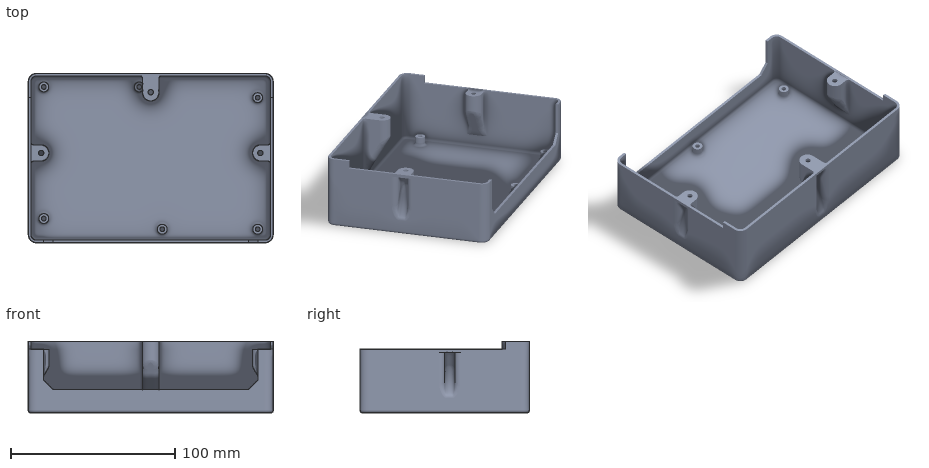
import cadquery as cq
import math

LENGTH = 149.2
WIDTH = 103.2
HEIGHT = 43.6
WALL = 1.6
CORNER_RADIUS = 5.2
BOTTOM_EDGE_RADIUS = WALL
FLOOR_FILLET = WALL

RIM_Z = 38.8
STEP_Y = 36.9

WINDOW_WIDTH = 130.4
SILL_Z = 14.2
WINDOW_CHAMFER = 5.8

BOSS_HALF_WIDTH = 5.0
BOSS_WALL = 1.8
BOSS_ROOT_FILLET = WALL
BOSS_EDGE_FILLET = 3.2
SLOPE_ANGLE = 30.0
SLOPE_RISE = 1 / math.tan(math.radians(SLOPE_ANGLE))
HOLLOW_HALF_WIDTH = BOSS_HALF_WIDTH - BOSS_WALL
HOLLOW_EDGE_FILLET = BOSS_EDGE_FILLET / 2
MOUTH_FILLET = BOSS_EDGE_FILLET
SCREW_HOLE_DIAMETER = 3.2

SIDE_BOSS_Y = 3.1
SIDE_BOSS_REACH = 7.9
SIDE_BOSS_NOSE = 12.6
SIDE_BOSS_TOP = RIM_Z - 0.2
SIDE_SLOPE_Z = 6.1
BACK_BOSS_REACH = 11.5
BACK_BOSS_NOSE = 16.8
BACK_BOSS_TOP = HEIGHT
BACK_SLOPE_Z = 2.1

PANEL_WIDTH = 2 * (BOSS_HALF_WIDTH + BOSS_EDGE_FILLET)
PANEL_BASE_Z = WALL + FLOOR_FILLET
TOLERANCE = 0.01

STANDOFF_DIAMETER = 6.0
STANDOFF_HOLE_DIAMETER = 2.85
STANDOFF_HEIGHT = 5.5
STANDOFF_FILLET = WALL
STANDOFF_HALF_SET = [(-65.1, 43.3), (-7.0, 43.3), (65.1, 36.8)]

Z_AXIS = ((0, 0, 0), (0, 0, 1))


def arc_inset(radius):
    """Distance of a quarter fillet's midpoint from each of the two faces it joins."""
    return radius * (1 - math.sqrt(0.5))


def rounded_block(length, width, bottom, top, corner_radius, bottom_radius):
    """Block with rounded vertical corners and a rounded bottom edge."""
    block = cq.Workplane("XY").workplane(offset=bottom).rect(length, width).extrude(top - bottom)
    return block.edges("|Z").fillet(corner_radius).faces("<Z").edges().fillet(bottom_radius)


def tray():
    """Box shell with the stepped rim and the front window."""
    outside = rounded_block(LENGTH, WIDTH, 0, HEIGHT, CORNER_RADIUS, BOTTOM_EDGE_RADIUS)
    inside = rounded_block(
        LENGTH - 2 * WALL, WIDTH - 2 * WALL, WALL, HEIGHT, CORNER_RADIUS - WALL, FLOOR_FILLET
    )
    rim_depth = STEP_Y + WIDTH / 2
    rim_cut = cq.Workplane("XY").box(LENGTH, rim_depth, HEIGHT - RIM_Z, centered=(True, False, False))
    rim_cut = rim_cut.translate((0, -WIDTH / 2, RIM_Z))
    half = WINDOW_WIDTH / 2
    window = (
        cq.Workplane("XZ", origin=(0, -WIDTH / 2, 0))
        .moveTo(-half, HEIGHT)
        .lineTo(-half, SILL_Z + WINDOW_CHAMFER)
        .lineTo(-half + WINDOW_CHAMFER, SILL_Z)
        .lineTo(half - WINDOW_CHAMFER, SILL_Z)
        .lineTo(half, SILL_Z + WINDOW_CHAMFER)
        .lineTo(half, HEIGHT)
        .close()
        .extrude(-WALL)
    )
    return outside.cut(inside).cut(rim_cut).cut(window)


def boss_plan(nose):
    """Plan of a boss at z = 0: a slab inside the wall, concave root flares and a round nose."""
    slab_half = PANEL_WIDTH / 2
    flare_x = WALL + BOSS_ROOT_FILLET
    flare_y = BOSS_HALF_WIDTH + BOSS_ROOT_FILLET
    flare_mid = arc_inset(BOSS_ROOT_FILLET)
    return (
        cq.Workplane("XY")
        .moveTo(WALL / 2, -slab_half)
        .lineTo(WALL, -slab_half)
        .lineTo(WALL, -flare_y)
        .threePointArc((WALL + flare_mid, -BOSS_HALF_WIDTH - flare_mid), (flare_x, -BOSS_HALF_WIDTH))
        .lineTo(nose - BOSS_HALF_WIDTH, -BOSS_HALF_WIDTH)
        .threePointArc((nose, 0), (nose - BOSS_HALF_WIDTH, BOSS_HALF_WIDTH))
        .lineTo(flare_x, BOSS_HALF_WIDTH)
        .threePointArc((WALL + flare_mid, BOSS_HALF_WIDTH + flare_mid), (WALL, flare_y))
        .lineTo(WALL, slab_half)
        .lineTo(WALL / 2, slab_half)
        .close()
    )


def hollow_plan(nose):
    """Plan of the hollow inside a boss at z = 0, starting outside the outer wall face."""
    return (
        cq.Workplane("XY")
        .moveTo(-WALL, -HOLLOW_HALF_WIDTH)
        .lineTo(nose - HOLLOW_HALF_WIDTH, -HOLLOW_HALF_WIDTH)
        .threePointArc((nose, 0), (nose - HOLLOW_HALF_WIDTH, HOLLOW_HALF_WIDTH))
        .lineTo(-WALL, HOLLOW_HALF_WIDTH)
        .close()
    )


def sloped_post(plan, top, slope_z, edge_fillet):
    """Raise a plan to z = top, cut its underside to a slope and round the lower edges.

    The plane of the underside passes through z = slope_z at x = 0. The edges on the
    plan's straight back and on the two ends of its slab stay sharp.
    """
    post = plan.extrude(top)
    bounds = post.val().BoundingBox()
    side_profile = (
        cq.Workplane("XZ")
        .moveTo(bounds.xmin, slope_z + bounds.xmin * SLOPE_RISE)
        .lineTo(bounds.xmax, slope_z + bounds.xmax * SLOPE_RISE)
        .lineTo(bounds.xmax, top)
        .lineTo(bounds.xmin, top)
        .close()
        .extrude(bounds.ymax, both=True)
    )
    post = post.intersect(side_profile)
    underside = post.faces(cq.selectors.DirectionMinMaxSelector(cq.Vector(SLOPE_RISE, 0, -1), True))
    rounded_zone = cq.selectors.BoxSelector(
        (bounds.xmin + TOLERANCE, -PANEL_WIDTH / 2 + TOLERANCE, bounds.zmin),
        (bounds.xmax + TOLERANCE, PANEL_WIDTH / 2 - TOLERANCE, bounds.zmax),
    )
    return underside.edges(rounded_zone).fillet(edge_fillet)


def boss_panel(reach, nose, boss_top, slope_z, panel_top):
    """Strip of wall with its outer face at x = 0, carrying a hollow screw boss that points to +X."""
    panel = cq.Workplane("XY").box(
        WALL, PANEL_WIDTH, panel_top - PANEL_BASE_Z, centered=(False, True, False)
    )
    panel = panel.translate((0, 0, PANEL_BASE_Z))
    body = panel.union(sloped_post(boss_plan(nose), boss_top, slope_z, BOSS_EDGE_FILLET))

    hollow_top = boss_top - BOSS_WALL
    hollow_slope_z = slope_z + BOSS_WALL / math.sin(math.radians(SLOPE_ANGLE))
    hollow = sloped_post(hollow_plan(nose - BOSS_WALL), hollow_top, hollow_slope_z, HOLLOW_EDGE_FILLET)
    body = body.cut(hollow)

    rounded_mouth = cq.selectors.BoxSelector(
        (-TOLERANCE, -HOLLOW_HALF_WIDTH - TOLERANCE, PANEL_BASE_Z + TOLERANCE),
        (TOLERANCE, HOLLOW_HALF_WIDTH + TOLERANCE, hollow_top - TOLERANCE),
    )
    body = body.edges(rounded_mouth).fillet(MOUTH_FILLET)

    screw_hole = cq.Workplane("XY", origin=(reach, 0, boss_top)).circle(SCREW_HOLE_DIAMETER / 2)
    return body.cut(screw_hole.extrude(-2 * BOSS_WALL))


def replace_wall(body, panel, turn, x, y):
    """Swap a strip of the wall for a boss panel turned about Z and moved to (x, y)."""
    slot = cq.Workplane("XY").box(WALL, PANEL_WIDTH, HEIGHT, centered=(False, True, False))
    slot = slot.translate((0, 0, PANEL_BASE_Z))
    body = body.cut(slot.rotate(*Z_AXIS, turn).translate((x, y, 0)))
    return body.union(panel.rotate(*Z_AXIS, turn).translate((x, y, 0)))


def add_bosses(body):
    """Screw bosses on the left, right and back walls."""
    side_panel = boss_panel(SIDE_BOSS_REACH, SIDE_BOSS_NOSE, SIDE_BOSS_TOP, SIDE_SLOPE_Z, RIM_Z)
    back_panel = boss_panel(BACK_BOSS_REACH, BACK_BOSS_NOSE, BACK_BOSS_TOP, BACK_SLOPE_Z, HEIGHT)
    body = replace_wall(body, side_panel, 0, -LENGTH / 2, SIDE_BOSS_Y)
    body = replace_wall(body, side_panel, 180, LENGTH / 2, SIDE_BOSS_Y)
    return replace_wall(body, back_panel, -90, 0, WIDTH / 2)


def add_standoffs(body):
    """Floor standoffs with a flared foot and a blind hole down to floor level."""
    radius = STANDOFF_DIAMETER / 2
    foot_radius = radius + STANDOFF_FILLET
    flare_drop = arc_inset(STANDOFF_FILLET)
    profile = (
        cq.Workplane("XZ")
        .moveTo(STANDOFF_HOLE_DIAMETER / 2, 0)
        .lineTo(foot_radius, 0)
        .threePointArc((radius + flare_drop, flare_drop), (radius, STANDOFF_FILLET))
        .lineTo(radius, STANDOFF_HEIGHT)
        .lineTo(STANDOFF_HOLE_DIAMETER / 2, STANDOFF_HEIGHT)
        .close()
    )
    standoff = profile.revolve(360, (0, 0, 0), (0, 1, 0))
    for x, y in STANDOFF_HALF_SET:
        for sign in (1, -1):
            body = body.union(standoff.translate((sign * x, sign * y, WALL)))
    return body


result = add_standoffs(add_bosses(tray()))